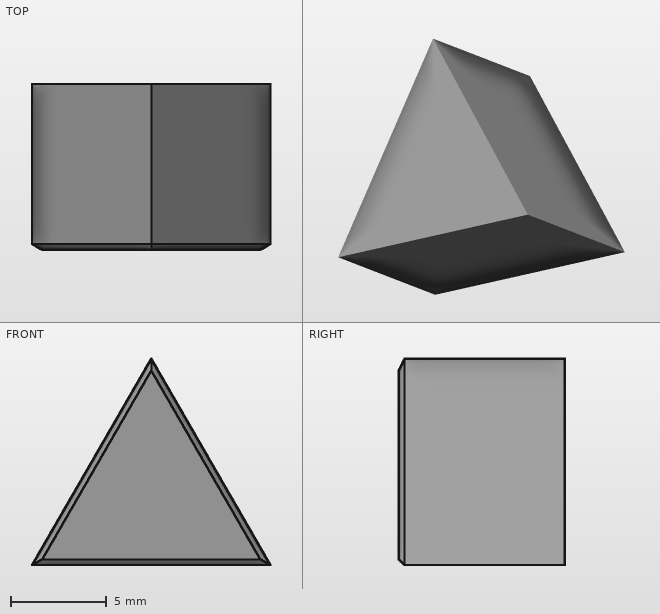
import cadquery as cq
import math

side = 12.45
length = 8.67
chamfer = 0.31
height = side * math.sqrt(3) / 2

prism = (
    cq.Workplane("XZ")
    .polyline([(-side / 2, 0), (side / 2, 0), (0, height)])
    .close()
    .extrude(-length)
)

result = prism.faces("<Y").chamfer(chamfer)